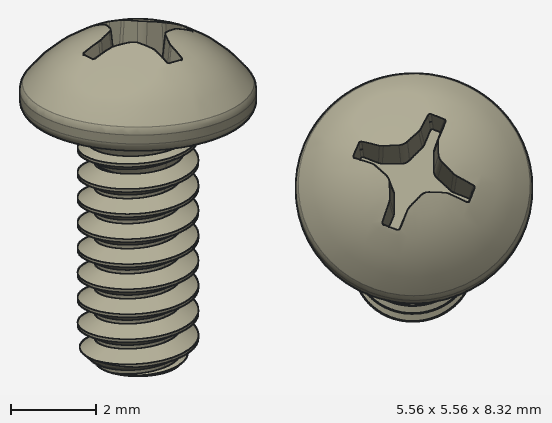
import cadquery as cq
import math


head_radius = 2.78
dome_height = 2.035
dome_sphere_radius = 3.4
head_bottom_fillet = 0.27
head_top_fillet = 0.3

shank_length = 6.35
pitch = 0.635
major_radius = 1.42
minor_radius = 1.02
crest_width = pitch / 8
flank_angle = math.radians(30)
crest_height_at_x_axis = -0.765
neck_radius = 1.47
neck_length = 1.25
spare_turns = 1
envelope_radius = 1.7
thread_overlap = 0.05

recess_depth = 1.2
recess_inset = 0.12
arm_reach = 1.5
arm_half_width = 0.25
flare_start = 0.935
core_corner = 0.445
arm_end_fillet = 0.05
flare_fillet = 0.25
core_fillet = 0.28
corner_tolerance = 0.01


def revolve_profile(profile):
    """Turn a closed radius/height profile about the Z axis."""
    return profile.close().revolve(360, (0, 0, 0), (0, 1, 0))


def dome_z(radius):
    """Height of the spherical dome at a distance from the axis."""
    sphere_centre = dome_height - dome_sphere_radius
    return sphere_centre + math.sqrt(dome_sphere_radius**2 - radius**2)


def make_head():
    rim_z = dome_z(head_radius)
    middle_radius = head_radius / 2
    head = revolve_profile(
        cq.Workplane("XZ")
        .lineTo(head_radius, 0)
        .lineTo(head_radius, rim_z)
        .threePointArc((middle_radius, dome_z(middle_radius)), (0, dome_height))
    )
    head = head.faces("<Z").edges().fillet(head_bottom_fillet)
    rim = head.faces("%CYLINDER").edges(">Z")
    return rim.fillet(head_top_fillet)


def make_core():
    """Shank at the thread root, with the neck tapering out to meet the head."""
    return revolve_profile(
        cq.Workplane("XZ")
        .lineTo(neck_radius, 0)
        .lineTo(minor_radius, -neck_length)
        .lineTo(minor_radius, -shank_length)
        .lineTo(0, -shank_length)
    )


def make_thread():
    """Right-handed thread ridge, trimmed by the head and by a 45 degree point."""
    root_radius = minor_radius - thread_overlap
    half_crest = crest_width / 2
    half_root = half_crest + (major_radius - root_radius) * math.tan(flank_angle)
    turns_below = math.ceil((shank_length + crest_height_at_x_axis) / pitch) + spare_turns
    turns_above = math.ceil(-crest_height_at_x_axis / pitch)
    turns = turns_below + turns_above
    start_z = crest_height_at_x_axis - turns_below * pitch

    path = cq.Wire.makeHelix(pitch, turns * pitch, minor_radius).moved(cq.Location((0, 0, start_z)))
    ridge = (
        cq.Workplane("XZ")
        .polyline([
            (root_radius, start_z - half_root),
            (major_radius, start_z - half_crest),
            (major_radius, start_z + half_crest),
            (root_radius, start_z + half_root),
        ])
        .close()
        .sweep(cq.Workplane(obj=path), isFrenet=True)
    )
    point_height = envelope_radius - minor_radius
    envelope = revolve_profile(
        cq.Workplane("XZ")
        .moveTo(0, head_bottom_fillet)
        .lineTo(envelope_radius, head_bottom_fillet)
        .lineTo(envelope_radius, -shank_length + point_height)
        .lineTo(minor_radius, -shank_length)
        .lineTo(0, -shank_length)
    )
    return ridge.intersect(envelope)


def fillet_corners(plug, corner, radius):
    """Round the upright plug edges that start as far from the axis as the given corner."""
    target = math.hypot(*corner)

    def at_corner(edge):
        top = max((edge.startPoint(), edge.endPoint()), key=lambda point: point.z)
        return abs(math.hypot(top.x, top.y) - target) < corner_tolerance

    return plug.edges("not #Z").filter(at_corner).fillet(radius)


def make_recess():
    """Tapered cross-shaped plug that leaves the driver recess."""
    quarter = [
        (arm_reach, -arm_half_width),
        (arm_reach, arm_half_width),
        (flare_start, arm_half_width),
        (core_corner, core_corner),
        (arm_half_width, flare_start),
    ]
    outline = []
    for turn in range(4):
        cos_turn = round(math.cos(turn * math.pi / 2))
        sin_turn = round(math.sin(turn * math.pi / 2))
        for x, y in quarter:
            outline.append((x * cos_turn - y * sin_turn, x * sin_turn + y * cos_turn))
    top_wire = cq.Workplane("XY", origin=(0, 0, dome_height)).polyline(outline).close().val()
    bottom_wire = top_wire.offset2D(-recess_inset, "intersection")[0]
    bottom_wire = bottom_wire.moved(cq.Location((0, 0, -recess_depth)))
    plug = cq.Workplane(obj=cq.Solid.makeLoft([top_wire, bottom_wire], True))
    plug = fillet_corners(plug, (arm_reach, arm_half_width), arm_end_fillet)
    plug = fillet_corners(plug, (flare_start, arm_half_width), flare_fillet)
    return fillet_corners(plug, (core_corner, core_corner), core_fillet)


result = make_core().union(make_thread()).union(make_head()).cut(make_recess())